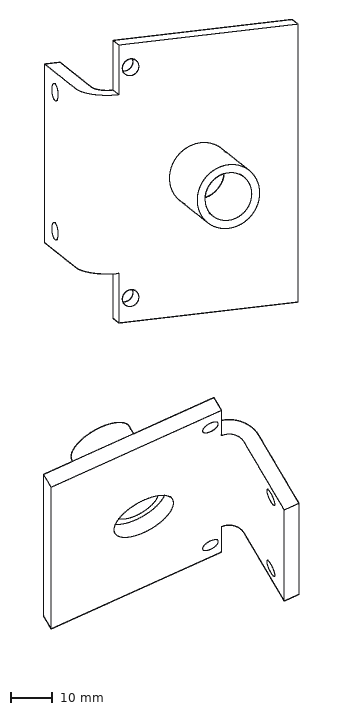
import cadquery as cq

plate_height = 70.0
plate_width = 46.0
sheet_thickness = 4.0
bend_inner_radius = 4.0
bend_outer_radius = bend_inner_radius + sheet_thickness
flange_height = 45.0
flange_reach = 29.0

screw_hole_diameter = 4.2
plate_hole_spacing = 58.1
plate_hole_inset = 3.0
flange_hole_spacing = 35.0
flange_hole_inset = 7.0

tube_outer_diameter = 16.0
tube_inner_diameter = 12.0
tube_length = 18.55
plate_bore_diameter = tube_outer_diameter
tube_y = plate_width - 25.0


def make_plate():
    """Flat plate with the tube bore and two screw holes through it."""
    plate = cq.Workplane("XY").box(
        sheet_thickness, plate_width, plate_height, centered=(False, False, True)
    ).translate((-sheet_thickness, 0, 0))
    bore = (
        cq.Workplane("YZ", origin=(-sheet_thickness, tube_y, 0))
        .circle(plate_bore_diameter / 2)
        .extrude(sheet_thickness)
    )
    screw_holes = (
        cq.Workplane("YZ", origin=(-sheet_thickness, plate_hole_inset, 0))
        .rarray(0.7, plate_hole_spacing, 1, 2)
        .circle(screw_hole_diameter / 2)
        .extrude(sheet_thickness)
    )
    return plate.cut(bore).cut(screw_holes)


def make_flange():
    """Bend and flat flange in one constant-thickness profile, with two screw holes."""
    bend_x = -bend_outer_radius
    inner_y = -bend_inner_radius
    outer_y = -bend_outer_radius
    flange = (
        cq.Workplane("XY")
        .moveTo(0, 0)
        .radiusArc((bend_x, outer_y), bend_outer_radius)
        .lineTo(-flange_reach, outer_y)
        .lineTo(-flange_reach, inner_y)
        .lineTo(bend_x, inner_y)
        .radiusArc((-sheet_thickness, 0), -bend_inner_radius)
        .close()
        .extrude(flange_height / 2, both=True)
    )
    screw_holes = (
        cq.Workplane("XZ", origin=(-flange_reach + flange_hole_inset, inner_y, 0))
        .rarray(0.7, flange_hole_spacing, 1, 2)
        .circle(screw_hole_diameter / 2)
        .extrude(sheet_thickness)
    )
    return flange.cut(screw_holes)


def make_bracket():
    return make_plate().union(make_flange())


def make_tube():
    return (
        cq.Workplane("YZ", origin=(0, tube_y, 0))
        .circle(tube_outer_diameter / 2)
        .circle(tube_inner_diameter / 2)
        .extrude(tube_length)
    )


bracket = make_bracket()
tube = make_tube()

result = cq.Compound.makeCompound([bracket.solids().val(), tube.val()])